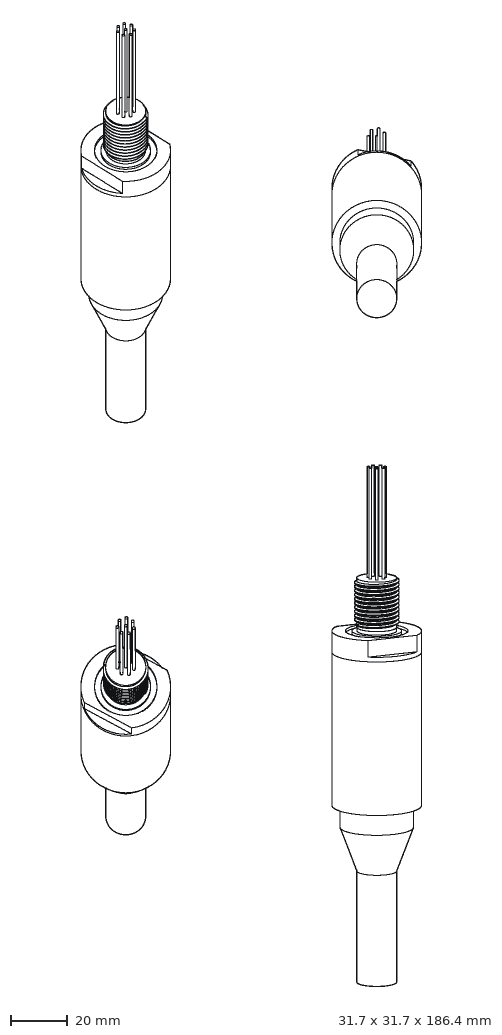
import cadquery as cq
import math

cable_top = 40.3
cone_top = 56.0
sleeve_bottom = 64.0
sleeve_top = 119.5
head_top = 127.0
neck_top = 128.4
thread_bottom = 129.1
thread_top = 146.3
wire_top = 186.4

sleeve_dia = 31.7
collar_dia = 26.0
cable_dia = 14.2

head_dia = sleeve_dia
flat_spacing = 25.2
flat_bottom = 121.1
groove_outer_dia = 22.0
groove_inner_dia = 17.5
groove_depth = 1.0

neck_dia = 14.0
thread_dia = 15.8
thread_root_dia = 14.2
thread_pitch = 1.5
thread_start_angle = 180.0
thread_end_gap = 0.1
thread_crest_width = 0.2
thread_base_width = 1.3
thread_embed = 0.2

wire_dia = 1.0
ring_wire_count = 7
wire_ring_radius = 3.0


def cylinder(diameter, bottom, top):
    """Cylinder on the Z axis between two heights."""
    return cq.Workplane("XY").workplane(offset=bottom).circle(diameter / 2).extrude(top - bottom)


def make_housing():
    """Revolved sleeve that steps down through collar and cone to the cable."""
    return (
        cq.Workplane("XZ")
        .moveTo(0, 0)
        .lineTo(cable_dia / 2, 0)
        .lineTo(cable_dia / 2, cable_top)
        .lineTo(collar_dia / 2, cone_top)
        .lineTo(collar_dia / 2, sleeve_bottom)
        .lineTo(sleeve_dia / 2, sleeve_bottom)
        .lineTo(sleeve_dia / 2, sleeve_top)
        .lineTo(0, sleeve_top)
        .close()
        .revolve(360, (0, 0, 0), (0, 1, 0))
    )


def make_head():
    """Round head, cut back to two flats facing -Y and +Y, with the groove in its top."""
    base = cylinder(head_dia, sleeve_top, flat_bottom)
    flatted = cylinder(head_dia, flat_bottom, head_top).intersect(
        cq.Workplane("XY")
        .workplane(offset=flat_bottom)
        .rect(head_dia, flat_spacing)
        .extrude(head_top - flat_bottom)
    )
    groove = (
        cq.Workplane("XY")
        .workplane(offset=head_top)
        .circle(groove_outer_dia / 2)
        .circle(groove_inner_dia / 2)
        .extrude(-groove_depth)
    )
    return base.union(flatted).cut(groove)


def make_thread():
    """Right-handed helical ridge on a root cylinder."""
    path_height = thread_top - thread_bottom - thread_base_width - thread_end_gap
    path_start = thread_bottom + thread_base_width / 2
    inner_radius = thread_root_dia / 2 - thread_embed
    path = cq.Workplane(obj=cq.Wire.makeHelix(thread_pitch, path_height, inner_radius))
    ridge = (
        cq.Workplane("XZ")
        .moveTo(inner_radius, -thread_base_width / 2)
        .lineTo(thread_dia / 2, -thread_crest_width / 2)
        .lineTo(thread_dia / 2, thread_crest_width / 2)
        .lineTo(inner_radius, thread_base_width / 2)
        .close()
        .sweep(path, isFrenet=True)
        .rotate((0, 0, 0), (0, 0, 1), thread_start_angle)
        .translate((0, 0, path_start))
    )
    core = cylinder(thread_root_dia, neck_top, thread_top)
    return core.union(ridge, clean=False)


def make_wires():
    """Straight wires standing on the end of the threaded neck."""
    centres = [(0, 0)]
    for index in range(ring_wire_count):
        angle = math.pi / 2 + index * 2 * math.pi / ring_wire_count
        centres.append((wire_ring_radius * math.cos(angle), wire_ring_radius * math.sin(angle)))
    return (
        cq.Workplane("XY")
        .workplane(offset=thread_top)
        .pushPoints(centres)
        .circle(wire_dia / 2)
        .extrude(wire_top - thread_top)
    )


def make_connector():
    """Head, neck, thread and wires as one solid seated on the housing."""
    neck = cylinder(neck_dia, head_top, neck_top)
    body = make_head().union(neck)
    return body.union(make_thread(), clean=False).union(make_wires(), clean=False)


housing = make_housing()
connector = make_connector()

result = cq.Compound.makeCompound([housing.val(), *connector.vals()])